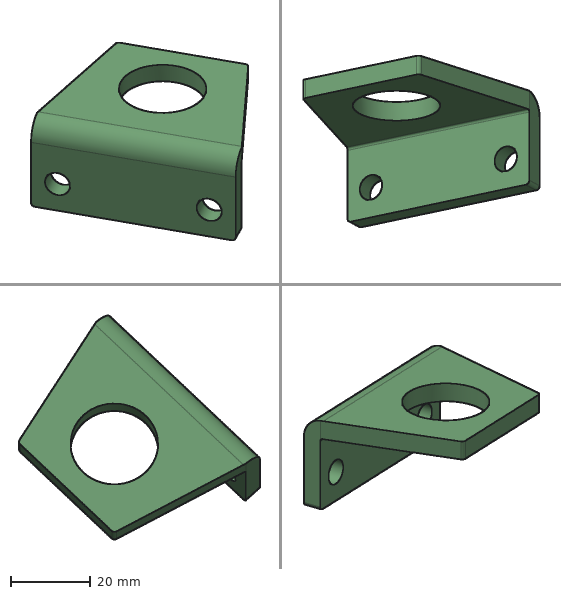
import cadquery as cq

width = 54.0
depth = 42.0
height = 25.0
thickness = 5.0

bend_outer_radius = 5.65
bend_inner_radius = bend_outer_radius - thickness

back_width = 34.55
back_corner_radius = 1.0
large_hole_diameter = 22.05
large_hole_from_back = 17.05

bottom_corner_radius = 1.0
mount_hole_diameter = 6.6
mount_hole_spacing = 40.0
mount_hole_height = 8.05


def bent_plate():
    """L-shaped profile in the YZ plane, extruded across the full width."""
    profile = (
        cq.Workplane("YZ")
        .moveTo(0, 0)
        .lineTo(thickness, 0)
        .lineTo(thickness, height - thickness)
        .lineTo(depth, height - thickness)
        .lineTo(depth, height)
        .lineTo(0, height)
        .close()
        .extrude(width / 2, both=True)
    )
    outer_bend = cq.selectors.NearestToPointSelector((0, 0, height))
    inner_bend = cq.selectors.NearestToPointSelector((0, thickness, height - thickness))
    return (
        profile.edges(outer_bend).fillet(bend_outer_radius)
        .edges(inner_bend).fillet(bend_inner_radius)
    )


def plan_outline():
    """Tapered plan shape with rounded back corners, over the full height."""
    outline = (
        cq.Workplane("XY")
        .moveTo(-width / 2, 0)
        .lineTo(width / 2, 0)
        .lineTo(width / 2, thickness)
        .lineTo(back_width / 2, depth)
        .lineTo(-back_width / 2, depth)
        .lineTo(-width / 2, thickness)
        .close()
        .extrude(height)
    )
    return outline.edges("|Z and >Y").fillet(back_corner_radius)


def large_hole():
    """Round opening through the horizontal plate."""
    return (
        cq.Workplane("XY", origin=(0, depth - large_hole_from_back, height - thickness))
        .circle(large_hole_diameter / 2)
        .extrude(thickness)
    )


def mount_holes():
    """Pair of holes through the vertical plate."""
    half_spacing = mount_hole_spacing / 2
    return (
        cq.Workplane("XZ")
        .pushPoints([(-half_spacing, mount_hole_height), (half_spacing, mount_hole_height)])
        .circle(mount_hole_diameter / 2)
        .extrude(-thickness)
    )


bracket = bent_plate().intersect(plan_outline())
bracket = bracket.edges("|Y and <Z").fillet(bottom_corner_radius)
result = bracket.cut(large_hole()).cut(mount_holes())